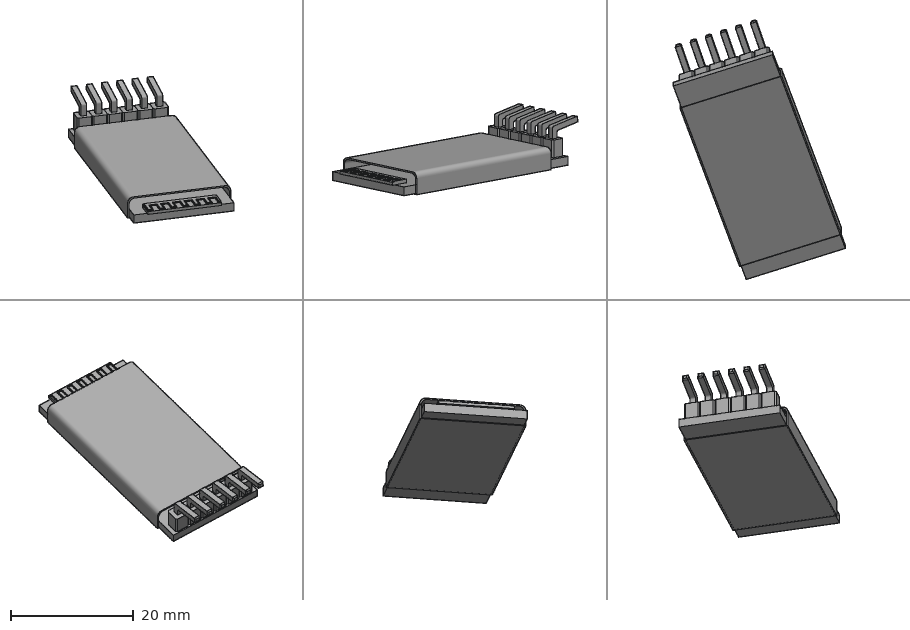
import cadquery as cq
import math


board_length = 36.62
board_width = 17.1
board_thickness = 1.47

sleeve_start = 4.05
sleeve_length = 29.95
sleeve_wall = 0.25
sleeve_floor = 0.15
sleeve_top = 3.5
sleeve_radius = 1.0
sleeve_end = sleeve_start + sleeve_length
sleeve_width = board_width + 2 * sleeve_wall

component_length = 3.27
component_width = 3.27
component_height = 1.35
component_side = -8.2

overall_length = 40.9
pin_tip_x = -3.85
connector_end = overall_length + pin_tip_x
connector_width = 12.6
connector_height = 0.5
comb_step_height = 0.06
comb_step_inset = 0.2
comb_end_inset = 0.12
comb_lower_end = 36.75
comb_lower_side = -6.2
slot_count = 6
slot_pitch = 2.0
slot_width = 1.0
slot_start = 35.0
slot_row_offset = 0.3

header_count = 6
header_row_width = 15.6
header_pitch = header_row_width / header_count
header_offset = -0.05
block_start = 0.25
block_length = 2.45
block_height = 2.95
block_chamfer = 0.25
block_centre = block_start + block_length / 2
block_top = board_thickness + block_height
pin_width = 1.0
pin_tilt = math.radians(10)
pin_top = 7.45
pin_bend_radius = 0.35
pin_tip_chamfer = 0.2


def box_between(x_range, y_range, z_range):
    """Box spanning the given (low, high) ranges."""
    size = [high - low for low, high in (x_range, y_range, z_range)]
    corner = (x_range[0], y_range[0], z_range[0])
    return cq.Workplane("XY").box(*size, centered=False).translate(corner)


def comb_layer(inset, end_inset, bottom):
    """One thin layer of the comb, its side and slots moved back by one inset, its end by another."""
    top = bottom + comb_step_height
    layer_end = comb_lower_end - end_inset
    layer = box_between(
        (sleeve_end, layer_end),
        (comb_lower_side + inset, connector_width / 2),
        (bottom, top),
    )
    half_width = slot_width / 2 + inset
    for index in range(slot_count):
        slot_y = slot_row_offset + (index - (slot_count - 1) / 2) * slot_pitch
        slot = box_between(
            (slot_start - inset, layer_end),
            (slot_y - half_width, slot_y + half_width),
            (bottom, top),
        )
        layer = layer.cut(slot)
    return layer


def make_connector():
    """Base plate overhanging the board end, with the stepped comb on top."""
    plate_top = board_thickness + connector_height
    plate = box_between(
        (sleeve_end, connector_end),
        (-connector_width / 2, connector_width / 2),
        (board_thickness, plate_top),
    )
    lower_comb = comb_layer(0, 0, plate_top)
    upper_comb = comb_layer(comb_step_inset, comb_end_inset, plate_top + comb_step_height)
    return plate.union(lower_comb).union(upper_comb)


def make_board():
    """Board with its component and connector."""
    board = box_between(
        (0, board_length),
        (-board_width / 2, board_width / 2),
        (0, board_thickness),
    )
    component = box_between(
        (sleeve_start, sleeve_start + component_length),
        (component_side, component_side + component_width),
        (board_thickness, board_thickness + component_height),
    )
    return board.union(component).union(make_connector())


def make_sleeve():
    """Thin sleeve close to the board's sides and underside, rounded alike inside and out."""
    x_range = (sleeve_start, sleeve_end)
    outside = box_between(x_range, (-sleeve_width / 2, sleeve_width / 2), (-sleeve_floor, sleeve_top))
    outside = outside.edges("|X and >Z").fillet(sleeve_radius)
    inside = box_between(x_range, (-board_width / 2, board_width / 2), (0, sleeve_top - sleeve_wall))
    inside = inside.edges("|X and >Z").fillet(sleeve_radius)
    return outside.cut(inside)


def make_pin():
    """Square pin rising from the block and bent back over the board end, centred on Y = 0."""
    run_x = -math.cos(pin_tilt)
    run_z = math.sin(pin_tilt)
    back_x = block_centre + pin_width / 2
    front_x = back_x - pin_width

    arm_length = (back_x - pin_tip_x - (pin_width - pin_tip_chamfer) * run_z) / -run_x
    elbow_z = pin_top - (arm_length - pin_tip_chamfer) * run_z

    tip_upper = (back_x + arm_length * run_x, elbow_z + arm_length * run_z)
    tip_lower = (tip_upper[0] - pin_width * run_z, tip_upper[1] + pin_width * run_x)
    inner_elbow_z = tip_lower[1] - (front_x - tip_lower[0]) * math.tan(pin_tilt)
    outline = [
        (front_x, block_top),
        (back_x, block_top),
        (back_x, elbow_z),
        tip_upper,
        tip_lower,
        (front_x, inner_elbow_z),
    ]
    pin = cq.Workplane("XZ").polyline(outline).close().extrude(pin_width / 2, both=True)
    elbows = cq.selectors.BoxSelector(
        (front_x - pin_width / 2, -pin_width, block_top + pin_width / 2),
        (back_x + pin_width / 2, pin_width, pin_top),
    )
    pin = pin.edges("|Y").edges(elbows).fillet(pin_bend_radius)
    return pin.faces("<X").chamfer(pin_tip_chamfer)


def make_header_unit(centre_y):
    """Block with chamfered upright edges and its pin, as one solid."""
    block = box_between(
        (block_start, block_start + block_length),
        (-header_pitch / 2, header_pitch / 2),
        (board_thickness, block_top),
    )
    block = block.edges("|Z").chamfer(block_chamfer)
    return block.union(make_pin()).translate((0, centre_y, 0))


board = make_board()
sleeve = make_sleeve()
header_units = []
for unit_index in range(header_count):
    unit_y = header_offset + (unit_index - (header_count - 1) / 2) * header_pitch
    header_units.append(make_header_unit(unit_y))

result = cq.Compound.makeCompound(
    [board.val(), sleeve.val(), *[unit.val() for unit in header_units]]
)